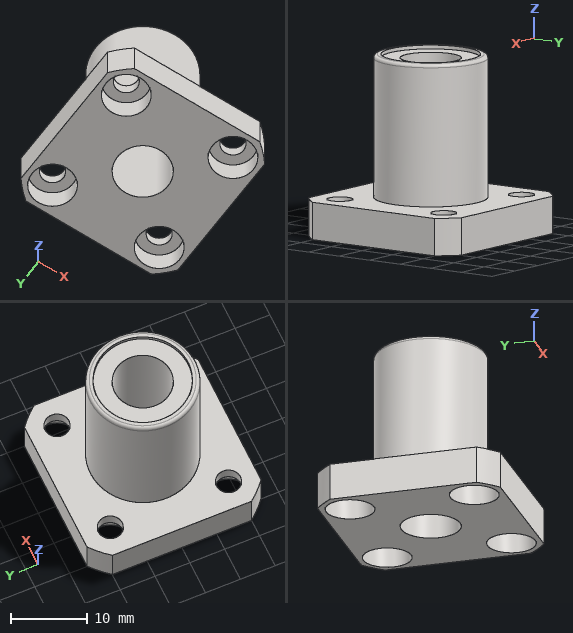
import cadquery as cq
import math

flange_width = 25.0
flange_diameter = 32.0
flange_thickness = 5.0

total_height = 24.0
sleeve_diameter = 15.0
bore_diameter = 8.0
rim_radius = 0.5

recess_diameter = 13.0
recess_depth = 0.5

bolt_circle_diameter = 24.0
screw_diameter = 3.4
head_diameter = 6.5
head_depth = 3.3


def make_flange():
    disc = cq.Workplane("XY").circle(flange_diameter / 2).extrude(flange_thickness)
    square = cq.Workplane("XY").rect(flange_width, flange_width).extrude(flange_thickness)
    return disc.intersect(square)


def make_sleeve():
    sleeve = cq.Workplane("XY").circle(sleeve_diameter / 2).extrude(total_height)
    return sleeve.faces(">Z").edges().fillet(rim_radius)


def make_bore():
    bore = cq.Workplane("XY").circle(bore_diameter / 2).extrude(total_height)
    recess_floor = cq.Workplane("XY").workplane(offset=total_height - recess_depth)
    recess = recess_floor.circle(recess_diameter / 2).extrude(recess_depth)
    return bore.union(recess)


def make_mounting_holes():
    hole_spacing = bolt_circle_diameter / math.sqrt(2)
    centres = cq.Workplane("XY").rect(hole_spacing, hole_spacing, forConstruction=True).vertices()
    screws = centres.circle(screw_diameter / 2).extrude(flange_thickness)
    heads = centres.circle(head_diameter / 2).extrude(head_depth)
    return screws.union(heads)


body = make_flange().union(make_sleeve())
result = body.cut(make_bore()).cut(make_mounting_holes())